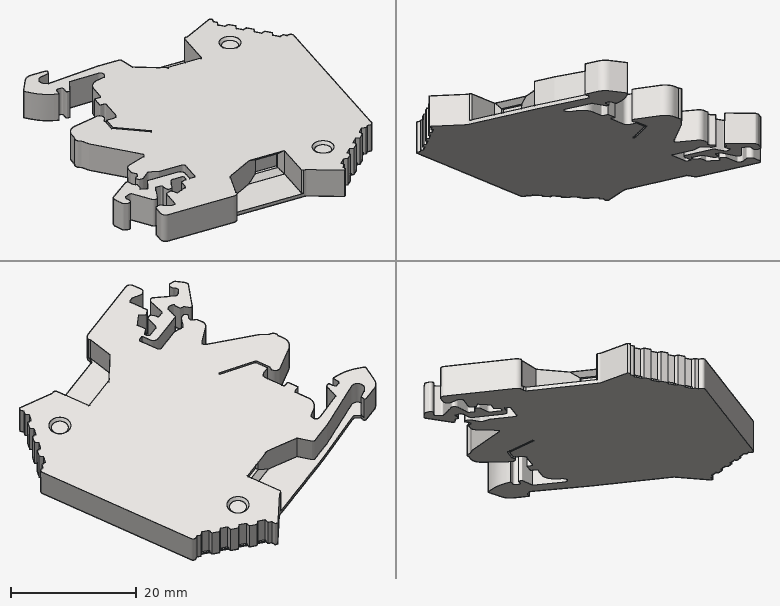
import cadquery as cq
import math


thickness = 5.1
total_width = 47.85
total_height = 46.35

top_half_width = 14.4
top_corner_radius = 0.5
tip_x = total_width / 2
tip_y = 36.4
wall_x = 21.03
wall_top_y = 31.05
wall_corner_radius = 0.6

flank_angle = 45
flank_mid_x = 18.62
flank_mid_y = 41.02
flank_length = 12.33
groove_count = 4
groove_pitch = 3.07
groove_mouth = 1.8
groove_floor = 1.2
groove_depth = 0.65
ledge_depth = 0.39
ledge_height = 0.3

marker_x = 16.5
marker_y = 36.35
marker_diameter = 3.5
marker_floor_diameter = 2.7
marker_depth = 0.5

web_thickness = 0.65
pocket_top_y = 30.35
pocket_inner_x = 14.77
pocket_bend_y = 23.95
pocket_shelf_x = 17.33
pocket_shelf_y = 19.35
pocket_mouth_chamfer = 0.25
outside_x = total_width / 2 + 1

funnel_mouth_top_z = 5.2
bore_top_y = 29.6
bore_bottom_y = 25.6
bore_bottom_z = 1.58
bore_top_z = 4.24
bore_depth = 0.5
pocket_wall_slope = (pocket_shelf_x - pocket_inner_x) / (pocket_bend_y - pocket_shelf_y)
funnel_depth = (bore_bottom_y - pocket_bend_y) * pocket_wall_slope

right_edge_x = 22.56
right_shoulder_y = 18.1


def mirrored(points):
    """Corners reflected across X = 0, in reverse order to keep the turning direction."""
    return [(-x, y, radius) for x, y, radius in reversed(points)]


def rounded_wire(corners):
    """Closed wire through (x, y, radius) corners; each corner is rounded by a tangent arc."""
    stretches = []
    for i, (x, y, radius) in enumerate(corners):
        here = cq.Vector(x, y)
        before = cq.Vector(*corners[i - 1][:2])
        after = cq.Vector(*corners[(i + 1) % len(corners)][:2])
        to_before = (before - here).normalized()
        to_after = (after - here).normalized()
        if radius == 0:
            stretches.append((here,))
            continue
        half_angle = to_before.getAngle(to_after) / 2
        tangent_length = radius / math.tan(half_angle)
        centre_distance = radius / math.sin(half_angle)
        bisector = (to_before + to_after).normalized()
        start = here + to_before * tangent_length
        middle = here + bisector * (centre_distance - radius)
        end = here + to_after * tangent_length
        stretches.append((start, middle, end))

    path = cq.Workplane("XY").moveTo(*stretches[0][-1].toTuple()[:2])
    for stretch in stretches[1:] + stretches[:1]:
        path = path.lineTo(stretch[0].x, stretch[0].y)
        if len(stretch) > 1:
            path = path.threePointArc(stretch[1].toTuple()[:2], stretch[2].toTuple()[:2])
    return path.close()


half_flank_x = flank_length / 2 * math.cos(math.radians(flank_angle))
half_flank_y = flank_length / 2 * math.sin(math.radians(flank_angle))
left_shoulder = [
    (-top_half_width, total_height, top_corner_radius),
    (-flank_mid_x + half_flank_x, flank_mid_y + half_flank_y, 0),
    (-flank_mid_x - half_flank_x, flank_mid_y - half_flank_y, 0),
    (-23.65, 36.78, 0.1),
    (-tip_x, tip_y, 0),
    (-wall_x, wall_top_y, wall_corner_radius),
]

hook = [
    (-wall_x, 17.25, 0),
    (-20.62, 7.2, 0.5),
    (-21.65, 6.6, 0),
    (-22.51, 6.95, 0.35),
    (-22.51, 2.95, 1.9),
    (-18.96, 0.75, 0.35),
    (-16.62, 3.05, 8.0),
    (-15.75, 5.5, 0),
    (-17.07, 5.65, 0.35),
    (-17.07, 6.79, 0.3),
    (-15.7, 6.79, 0.2),
    (-15.7, 7.45, 0.1),
    (-18.07, 8.49, 0),
    (-18.19, 14.39, 0.72),
    (-16.85, 14.39, 0.72),
    (-16.1, 11.08, 2.0),
]

rail_gap_top = [
    (-11.93, 11.08, 0.2),
    (-11.93, 9.89, 0),
    (-9.97, 9.89, 0.15),
    (-9.97, 10.88, 0.25),
    (-5.69, 10.88, 0.8),
]

foot = [
    (-5.69, 8.9, 0),
    (-3.46, 8.9, 0),
    (0.16, 13.97, 0),
    (0.41, 13.8, 0),
    (-3.33, 8.57, 0),
    (-5.9, 8.57, 0.3),
    (-6.4, 8.95, 0.15),
    (-7.6, 8.8, 0.8),
    (-6.15, 2.15, 1.9),
    (-3.54, 2.12, 0),
    (-2.85, 1.75, 0.8),
    (-2.15, 2.75, 0.4),
    (-0.95, 3.45, 0),
    (5.9, 10.2, 0.45),
]

stop_lug = [
    (7.5, 5.8, 1.0),
    (9.32, 5.8, 0.3),
    (9.98, 6.43, 0.2),
    (10.47, 6.3, 0.15),
    (11.05, 5.6, 0.15),
    (11.62, 6.0, 0.2),
    (11.62, 6.76, 0.3),
    (10.3, 8.25, 0.4),
    (11.0, 9.85, 0.4),
    (11.0, 14.39, 0.4),
]

latch = [
    (14.95, 14.39, 0.3),
    (14.95, 13.36, 0),
    (12.48, 13.36, 0.9),
    (12.48, 7.05, 0.1),
    (14.75, 6.1, 0.6),
    (14.05, 4.9, 0.15),
    (13.69, 5.11, 0.1),
    (12.75, 5.11, 0.15),
    (12.45, 4.53, 0.15),
    (11.1, 4.05, 0.35),
    (14.3, 0.0, 0.4),
    (14.92, 0.0, 0.5),
    (16.55, 0.66, 0.5),
    (17.0, 2.01, 0.45),
    (15.91, 2.01, 0.2),
    (15.58, 1.81, 0.1),
    (15.0, 1.81, 0.2),
    (14.5, 3.05, 0.4),
    (18.1, 5.75, 0.5),
    (17.45, 6.35, 0.3),
    (14.76, 7.34, 0.2),
    (14.76, 8.57, 0.2),
    (15.17, 8.5, 0),
    (16.2, 8.82, 0.3),
    (16.15, 9.6, 0.3),
    (13.97, 10.5, 0.5),
    (13.97, 12.75, 0.3),
    (14.87, 12.75, 0.1),
]

right_foot = [
    (15.25, 11.71, 0.25),
    (16.82, 11.71, 0.1),
    (17.75, 9.73, 0.1),
    (16.68, 9.2, 0.15),
    (17.07, 8.08, 0.15),
    (20.45, 8.08, 0.3),
    (20.45, 7.17, 0.6),
    (19.5, 5.69, 0.1),
    (19.75, 4.78, 0.6),
    (right_edge_x, 4.78, 0.9),
    (right_edge_x, right_shoulder_y, 1.0),
    (21.43, 18.45, 0),
    (wall_x, 18.75, 0),
]

outline = (
    hook + rail_gap_top + foot + stop_lug + latch + right_foot
    + mirrored(left_shoulder) + left_shoulder
)


def make_plate():
    return rounded_wire(outline).extrude(thickness)


def groove_cutter(depth, bottom_z):
    """Trapezoidal groove about the origin, opening toward +Y, from bottom_z to the top face."""
    floor = groove_mouth - (groove_mouth - groove_floor) * depth / groove_depth
    return (
        cq.Workplane("XY")
        .workplane(offset=bottom_z)
        .polyline([
            (-groove_mouth / 2, 0),
            (-floor / 2, -depth),
            (floor / 2, -depth),
            (groove_mouth / 2, 0),
        ])
        .close()
        .extrude(thickness - bottom_z)
    )


def make_left_flank_grooves():
    cutters = cq.Workplane("XY")
    groove = groove_cutter(ledge_depth, 0).union(groove_cutter(groove_depth, ledge_height))
    for i in range(groove_count):
        along = (i - (groove_count - 1) / 2) * groove_pitch
        placed = groove.translate((along, 0, 0)).rotate((0, 0, 0), (0, 0, 1), flank_angle)
        cutters = cutters.add(placed.translate((-flank_mid_x, flank_mid_y, 0)))
    return cutters.combine()


def make_marker_hole():
    return (
        cq.Workplane("XY")
        .workplane(offset=thickness - marker_depth)
        .center(-marker_x, marker_y)
        .circle(marker_floor_diameter / 2)
        .workplane(offset=marker_depth)
        .circle(marker_diameter / 2)
        .loft()
    )


def pocket_above_web(corners):
    return rounded_wire(corners).extrude(thickness - web_thickness).translate((0, 0, web_thickness))


pocket_inner_corners = [
    (-outside_x, pocket_top_y + pocket_mouth_chamfer + outside_x - wall_x, 0),
    (-wall_x, pocket_top_y + pocket_mouth_chamfer, 0),
    (-wall_x + pocket_mouth_chamfer, pocket_top_y, 0),
    (-pocket_inner_x, pocket_top_y, 0),
    (-pocket_inner_x, pocket_bend_y, 0),
    (-pocket_shelf_x, pocket_shelf_y, 0),
]


def make_left_pocket():
    """Pocket that runs down the outer side of the hook arm and ends in a rounded slot."""
    slot_end = [
        (-20.03, 18.6, 0.4),
        (-20.03, 14.5, 0),
        (-19.05, 4.3, 1.1),
        (-21.2, 4.3, 1.1),
        (-21.65, 6.6, 0),
        (-outside_x, 7.4, 0),
    ]
    return pocket_above_web(pocket_inner_corners + slot_end)


def make_right_pocket():
    """Pocket that ends in a sloping shelf above the right foot."""
    shelf_end = [
        (-21.6, 18.2, 0),
        (-outside_x, 18.9, 0),
    ]
    return pocket_above_web(mirrored(pocket_inner_corners + shelf_end))


def rectangle_facing_x(x, bottom_y, top_y, bottom_z, top_z):
    """Rectangular wire in the plane at the given X."""
    return cq.Wire.makePolygon(
        [
            cq.Vector(x, bottom_y, bottom_z),
            cq.Vector(x, top_y, bottom_z),
            cq.Vector(x, top_y, top_z),
            cq.Vector(x, bottom_y, top_z),
        ],
        close=True,
    )


def make_left_funnel():
    """Tapered wire entry in the pocket's inner wall, with a short rectangular bore behind it."""
    mouth_x = -pocket_inner_x
    throat_x = mouth_x + funnel_depth
    mouth = rectangle_facing_x(
        mouth_x, pocket_bend_y, pocket_top_y, web_thickness, funnel_mouth_top_z
    )
    throat = rectangle_facing_x(throat_x, bore_bottom_y, bore_top_y, bore_bottom_z, bore_top_z)
    bore_end = rectangle_facing_x(
        throat_x + bore_depth, bore_bottom_y, bore_top_y, bore_bottom_z, bore_top_z
    )
    funnel = cq.Workplane(cq.Solid.makeLoft([mouth, throat], True))
    bore = cq.Workplane(cq.Solid.makeLoft([throat, bore_end], True))
    return funnel.union(bore)


result = make_plate().cut(make_left_pocket()).cut(make_right_pocket())
for left_cutter in (make_left_flank_grooves(), make_marker_hole(), make_left_funnel()):
    result = result.cut(left_cutter).cut(left_cutter.mirror("YZ"))